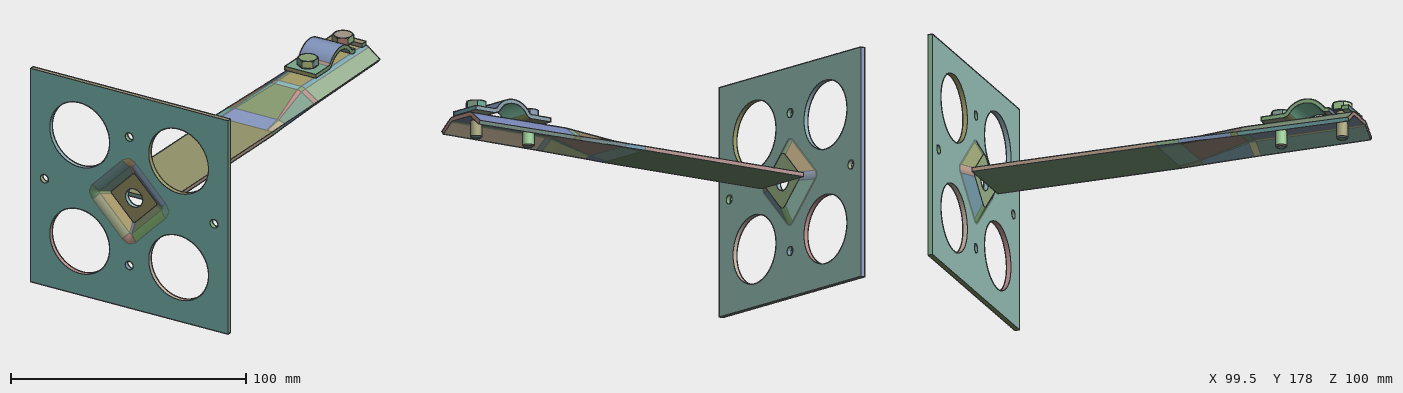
import cadquery as cq
import math

PLATE_WIDTH = 99.5
PLATE_HEIGHT = 100.0
SHEET = 2.1
BIG_HOLE_DIAMETER = 30.0
BIG_HOLE_OFFSET = 25.0
SMALL_HOLE_DIAMETER = 4.0
SMALL_HOLE_X = 42.7
SMALL_HOLE_Z = 30.0

BOSS_DEPTH = 6.0
BOSS_WALL_ANGLE = 39
BOSS_FLOOR_WIDTH = 16.7
BOSS_INNER_CORNER_RADIUS = 1.5
BOSS_OUTER_CORNER_RADIUS = 4.3
BOSS_MOUTH_RADIUS = 6.4
BOSS_FOOT_RADIUS = 0.7
BOSS_HOLE_DIAMETER = 8.5

ARM_END = 178.0
ARM_THICKNESS = 1.8
ARM_START = 6.2
STRIP_HALF_WIDTH = 14.8
END_HALF_WIDTH = 13.5
STRIP_TOP = ARM_THICKNESS / 2
RAMP_START = 90.6
RAMP_BEND_END = 100.8
CREST_BEND_START = 124.5
CREST_BEND_END = 127.6
RIDGE_TOP = 5.5
RIDGE_FLAT_HALF = 5.7
RIDGE_BEND_HALF = 7.8
RAMP_BEND_FLAT_HALF = 10.7
RAMP_BEND_BEND_HALF = 11.4
RAMP_FOOT_FLAT_HALF = 11.7
RAMP_FOOT_BEND_HALF = 12.1

CLAMP_CENTER = 156.0
CLAMP_LENGTH = 40.0
CLAMP_HALF_WIDTH = RIDGE_BEND_HALF
CLAMP_THICKNESS = 1.8
CLAMP_BOTTOM = 6.5
ARCH_TOP = 13.7
ARCH_HALF_LENGTH = 10.0
ARCH_BLEND_RADIUS = 1.8
SLOT_WIDTH = 5.7
BOLT_SPACING = 28.0
BOLT_DIAMETER = 5.0
BOLT_HEAD_WIDTH = 8.0
BOLT_HEAD_HEIGHT = 3.7
BOLT_HEAD_CHAMFER_HEIGHT = 0.4
WASHER_FACE_DIAMETER = 7.5
WASHER_FACE_HEIGHT = 0.4
BOLT_TIP = -3.5
BOLT_TIP_CHAMFER = 0.5

CLAMP_TOP = CLAMP_BOTTOM + CLAMP_THICKNESS
BOLT_POSITIONS = [CLAMP_CENTER - BOLT_SPACING / 2, CLAMP_CENTER + BOLT_SPACING / 2]


def diamond_frustum(top_width, mouth_y, depth, corner_radius):
    """Square frustum standing on a corner, narrowing toward +Y to its top width."""
    mouth_width = top_width + 2 * depth / math.tan(math.radians(BOSS_WALL_ANGLE))
    frustum = (
        cq.Workplane("XZ", origin=(0, mouth_y, 0))
        .transformed(rotate=(0, 0, 45))
        .rect(mouth_width, mouth_width)
        .extrude(-depth, taper=90 - BOSS_WALL_ANGLE)
    )
    sloping_edges = frustum.edges("not(#Y)")
    return sloping_edges.fillet(corner_radius)


def rim_at(y):
    """Selects the edges around the boss in the plane at y."""
    reach = BIG_HOLE_OFFSET
    margin = SHEET / 10
    return cq.selectors.BoxSelector((-reach, y - margin, -reach), (reach, y + margin, reach))


def make_plate():
    plate = cq.Workplane("XZ").rect(PLATE_WIDTH, PLATE_HEIGHT).extrude(-SHEET)

    press_depth = BOSS_DEPTH - SHEET
    back_width = BOSS_FLOOR_WIDTH + 2 * SHEET * math.tan(math.radians(BOSS_WALL_ANGLE / 2))
    boss = diamond_frustum(back_width, SHEET, press_depth, BOSS_OUTER_CORNER_RADIUS)
    plate = plate.union(boss)
    plate = plate.edges(rim_at(SHEET)).fillet(BOSS_FOOT_RADIUS)

    plate = plate.cut(diamond_frustum(BOSS_FLOOR_WIDTH, 0, press_depth, BOSS_INNER_CORNER_RADIUS))
    plate = plate.edges(rim_at(0)).fillet(BOSS_MOUTH_RADIUS)

    sides = (-BIG_HOLE_OFFSET, BIG_HOLE_OFFSET)
    big_holes = [(x, z) for x in sides for z in sides]
    small_holes = [(-SMALL_HOLE_X, 0), (SMALL_HOLE_X, 0), (0, -SMALL_HOLE_Z), (0, SMALL_HOLE_Z)]
    for points, diameter in (
        (big_holes, BIG_HOLE_DIAMETER),
        (small_holes, SMALL_HOLE_DIAMETER),
        ([(0, 0)], BOSS_HOLE_DIAMETER),
    ):
        holes = cq.Workplane("XZ").pushPoints(points).circle(diameter / 2).extrude(-BOSS_DEPTH)
        plate = plate.cut(holes)
    return plate


def mirrored(point):
    """Point on the other side of the symmetry line of a section."""
    return (-point[0], point[1])


def ridge_height(angle, bend_width, flank_width):
    """Top of a folded section whose lower edges rest on the underside of the strip."""
    edge_top = ARM_THICKNESS * (math.cos(angle) - 0.5)
    return edge_top + flank_width * math.tan(angle) + bend_width * math.tan(angle / 2)


def fold_angle(top, bend_width, flank_width):
    """Fold angle that gives the wanted ridge height, found by bisection."""
    low = 0
    high = math.pi / 3
    halvings = 50
    for _ in range(halvings):
        middle = (low + high) / 2
        if ridge_height(middle, bend_width, flank_width) < top:
            low = middle
        else:
            high = middle
    return (low + high) / 2


def arm_half_width(y):
    """The edges of the folded part draw in evenly from the ramp foot to the end."""
    travel = (y - RAMP_START) / (ARM_END - RAMP_START)
    return STRIP_HALF_WIDTH + travel * (END_HALF_WIDTH - STRIP_HALF_WIDTH)


def folded_section(y, flat_half, bend_half, top):
    """Wire of the bent sheet at y: flat ridge, two rounded shoulders, two straight flanks."""
    edge_half = arm_half_width(y)
    bend_width = bend_half - flat_half
    is_flat = top <= STRIP_TOP
    angle = 0 if is_flat else fold_angle(top, bend_width, edge_half - bend_half)

    def shoulder(fraction, depth):
        """Point part of the way round the shoulder, on the surface at this depth in the sheet."""
        if is_flat:
            return (flat_half + bend_width * fraction, top - depth)
        radius = bend_width / math.sin(angle)
        turn = angle * fraction
        return (
            flat_half + (radius - depth) * math.sin(turn),
            top - radius + (radius - depth) * math.cos(turn),
        )

    def edge(depth):
        return (
            edge_half - depth * math.sin(angle),
            (ARM_THICKNESS - depth) * math.cos(angle) - ARM_THICKNESS / 2,
        )

    def bend(outline, middle, end):
        return outline.lineTo(*end) if is_flat else outline.threePointArc(middle, end)

    flat_out, middle_out, bend_out = (shoulder(fraction, 0) for fraction in (0, 0.5, 1))
    flat_in, middle_in, bend_in = (shoulder(fraction, ARM_THICKNESS) for fraction in (0, 0.5, 1))
    edge_out = edge(0)
    edge_in = edge(ARM_THICKNESS)

    outline = cq.Workplane("XZ", origin=(0, y, 0))
    outline = outline.moveTo(*mirrored(edge_out)).lineTo(*mirrored(bend_out))
    outline = bend(outline, mirrored(middle_out), mirrored(flat_out)).lineTo(*flat_out)
    outline = bend(outline, middle_out, bend_out).lineTo(*edge_out)
    outline = outline.lineTo(*edge_in).lineTo(*bend_in)
    outline = bend(outline, middle_in, flat_in).lineTo(*mirrored(flat_in))
    outline = bend(outline, mirrored(middle_in), mirrored(bend_in)).lineTo(*mirrored(edge_in))
    return outline.close().val()


def bolt_holes():
    return (
        cq.Workplane("XY", origin=(0, 0, BOLT_TIP))
        .pushPoints([(0, y) for y in BOLT_POSITIONS])
        .circle(BOLT_DIAMETER / 2)
        .extrude(CLAMP_TOP - BOLT_TIP)
    )


def make_arm():
    strip_length = RAMP_START - ARM_START
    strip = cq.Workplane("XY", origin=(0, ARM_START + strip_length / 2, 0)).box(
        2 * STRIP_HALF_WIDTH, strip_length, ARM_THICKNESS
    )

    foot_bend = RAMP_BEND_END - RAMP_START
    crest_bend = CREST_BEND_END - CREST_BEND_START
    ramp_run = CREST_BEND_START - RAMP_BEND_END + (foot_bend + crest_bend) / 2
    slope = (RIDGE_TOP - STRIP_TOP) / ramp_run
    ramp_bottom = STRIP_TOP + slope * foot_bend / 2
    ramp_top = RIDGE_TOP - slope * crest_bend / 2
    sections = [
        folded_section(RAMP_START, RAMP_FOOT_FLAT_HALF, RAMP_FOOT_BEND_HALF, STRIP_TOP),
        folded_section(RAMP_BEND_END, RAMP_BEND_FLAT_HALF, RAMP_BEND_BEND_HALF, ramp_bottom),
        folded_section(CREST_BEND_START, RIDGE_FLAT_HALF, RIDGE_BEND_HALF, ramp_top),
        folded_section(CREST_BEND_END, RIDGE_FLAT_HALF, RIDGE_BEND_HALF, RIDGE_TOP),
        folded_section(ARM_END, RIDGE_FLAT_HALF, RIDGE_BEND_HALF, RIDGE_TOP),
    ]
    channel = cq.Workplane(cq.Solid.makeLoft(sections, True))
    return strip.union(channel).cut(bolt_holes())


def make_clamp():
    rise = ARCH_TOP - CLAMP_TOP
    turn = 2 * math.atan2(rise, ARCH_HALF_LENGTH)
    half_length = CLAMP_LENGTH / 2

    def on_blend(fraction, depth):
        radius = ARCH_BLEND_RADIUS + depth
        return (
            ARCH_HALF_LENGTH - radius * math.sin(fraction * turn),
            CLAMP_TOP + ARCH_BLEND_RADIUS - radius * math.cos(fraction * turn),
        )

    top_foot, top_middle, top_end = (on_blend(fraction, 0) for fraction in (0, 0.5, 1))
    low_foot, low_middle, low_end = (on_blend(fraction, CLAMP_THICKNESS) for fraction in (0, 0.5, 1))
    clamp = (
        cq.Workplane("YZ", origin=(-CLAMP_HALF_WIDTH, CLAMP_CENTER, 0))
        .moveTo(-half_length, CLAMP_TOP)
        .lineTo(*mirrored(top_foot))
        .threePointArc(mirrored(top_middle), mirrored(top_end))
        .threePointArc((0, ARCH_TOP), top_end)
        .threePointArc(top_middle, top_foot)
        .lineTo(half_length, CLAMP_TOP)
        .lineTo(half_length, CLAMP_BOTTOM)
        .lineTo(*low_foot)
        .threePointArc(low_middle, low_end)
        .threePointArc((0, ARCH_TOP - CLAMP_THICKNESS), mirrored(low_end))
        .threePointArc(mirrored(low_middle), mirrored(low_foot))
        .lineTo(-half_length, CLAMP_BOTTOM)
        .close()
        .extrude(2 * CLAMP_HALF_WIDTH)
        .cut(bolt_holes())
    )

    slot = cq.Workplane("XY", origin=(0, BOLT_POSITIONS[1], CLAMP_BOTTOM)).box(
        CLAMP_HALF_WIDTH, SLOT_WIDTH, CLAMP_THICKNESS, centered=(False, True, False)
    )
    return clamp.cut(slot)


def make_bolt(y):
    shank = (
        cq.Workplane("XY", origin=(0, y, BOLT_TIP))
        .circle(BOLT_DIAMETER / 2)
        .extrude(CLAMP_TOP - BOLT_TIP)
        .faces("<Z")
        .chamfer(BOLT_TIP_CHAMFER)
    )
    washer_face = (
        cq.Workplane("XY", origin=(0, y, CLAMP_TOP))
        .circle(WASHER_FACE_DIAMETER / 2)
        .extrude(WASHER_FACE_HEIGHT)
    )
    hexagon_height = BOLT_HEAD_HEIGHT - WASHER_FACE_HEIGHT
    hexagon_base = cq.Workplane("XY", origin=(0, y, CLAMP_TOP + WASHER_FACE_HEIGHT))
    hexagon = hexagon_base.polygon(6, BOLT_HEAD_WIDTH, circumscribed=True).extrude(hexagon_height)

    corner_radius = BOLT_HEAD_WIDTH / math.sqrt(3)
    trimmed_round = (
        hexagon_base.circle(corner_radius)
        .extrude(hexagon_height)
        .faces(">Z")
        .chamfer(BOLT_HEAD_CHAMFER_HEIGHT, corner_radius - BOLT_HEAD_WIDTH / 2)
    )
    return shank.union(washer_face).union(hexagon.intersect(trimmed_round))


plate = make_plate()
arm = make_arm()
clamp = make_clamp()
bolts = [make_bolt(y) for y in BOLT_POSITIONS]

result = cq.Compound.makeCompound([plate.val(), arm.val(), clamp.val(), *[bolt.val() for bolt in bolts]])